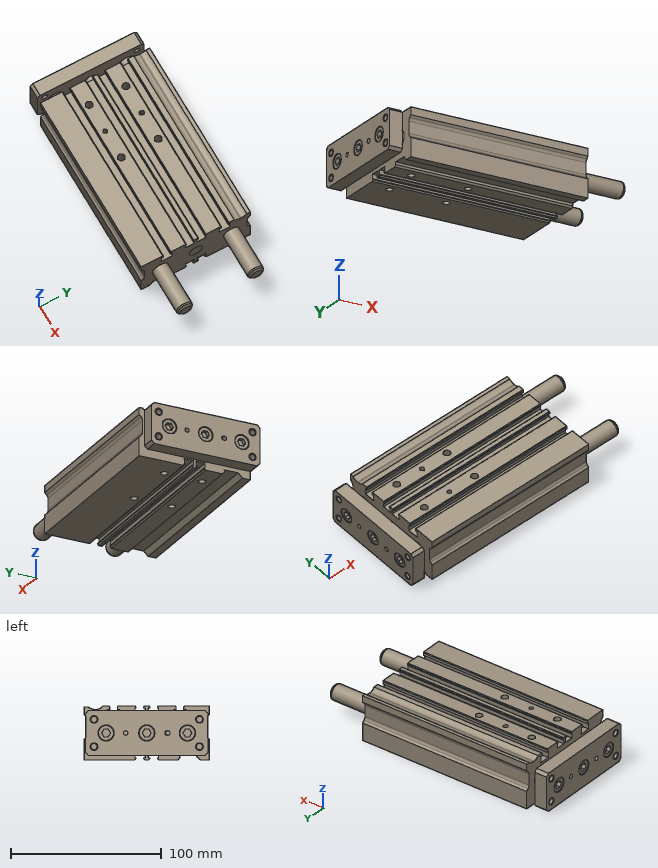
import cadquery as cq
import math


PLATE_THICKNESS = 10.0
PLATE_GAP = 6.0
HOUSING_LENGTH = 137.2
TOTAL_LENGTH = 188.0
HOUSING_FRONT = PLATE_THICKNESS + PLATE_GAP

HOUSING_WIDTH = 83.0
HOUSING_HEIGHT = 36.0
HALF_WIDTH = HOUSING_WIDTH / 2
HALF_HEIGHT = HOUSING_HEIGHT / 2

SIDE_GROOVE_TOP = 12.2
SIDE_GROOVE_BOTTOM = -4.1
SIDE_GROOVE_BEVEL = 1.5
SIDE_GROOVE_RADIUS = 3.2
SIDE_GROOVE_ANGLE = math.radians(45)

RIB_CAP_WIDTH = 4.1
RIB_STEM_WIDTH = 2.0
CENTRE_SLOT_OUTER = 7.1
CENTRE_SLOT_UNDERCUT = 0.5
CENTRE_SLOT_LIP = 1.5
CENTRE_SLOT_DEPTH = 5.0
EDGE_BEVEL = 0.5
BOTTOM_EDGE_BEVEL = 1.0

T_SLOT_OFFSET = 22.0
T_SLOT_MOUTH = 5.0
T_SLOT_WIDTH = 8.0
T_SLOT_LIP = 2.5
T_SLOT_DEPTH = 7.3

CHANNEL_CENTRE = 33.8
CHANNEL_DEPTH = 2.3
CHANNEL_FLAT = 0.5
CHANNEL_INNER_EDGE = 29.1
CHANNEL_OUTER_EDGE = 38.7
CHANNEL_OUTER_STEP = 0.2
OUTER_LAND_DROP = 0.5

BOTTOM_GROOVE_INNER = -22.0
BOTTOM_GROOVE_OUTER = -35.5
BOTTOM_GROOVE_DEPTH = 3.2
BOTTOM_GROOVE_BEVEL = 1.3

HOLE_FIRST = 17.0
HOLE_PITCH = 44.0
HOLE_ROW_SPACING = 28.0
HOLE_OFFSET = HOLE_ROW_SPACING / 2
MOUNT_HOLE_DIAMETER = 5.0
LOCATING_HOLE_DIAMETER = 3.0
LOCATING_HOLE_DEPTH = 6.0
LOCATING_RELIEF_SHIFT = 0.5
LOCATING_RELIEF_DEPTH = 3.0

PLATE_WIDTH = 81.0
PLATE_HEIGHT = 30.0
PLATE_BEVEL = 2.0
CORNER_HOLE_Y = 35.0
CORNER_HOLE_Z = 9.0
CORNER_HOLE_DIAMETER = 4.1
CORNER_HOLE_RIM = 5.0
CORNER_RIM_DEPTH = 0.47

GUIDE_SPACING = 54.0
GUIDE_OFFSET = GUIDE_SPACING / 2
GUIDE_DIAMETER = 12.0
PISTON_ROD_DIAMETER = 10.0
TIP_TAPER_LENGTH = 1.1
TIP_TAPER_INSET = 0.4
TIP_BEVEL_LENGTH = 1.1
TIP_BEVEL_INSET = 1.3
HEAD_DIAMETER = 10.0
HEAD_HEIGHT = 5.6
HEAD_RECESS = 0.4
COUNTERBORE_DEPTH = HEAD_RECESS + HEAD_HEIGHT
SCREW_DIAMETER = 6.0
COUNTERBORE_DIAMETER = 10.7
SOCKET_ACROSS_FLATS = 5.0
SOCKET_DEPTH = 3.0


def bar(points):
    """Prism along the housing with a polygonal (Y, Z) section."""
    return cq.Workplane("YZ", origin=(HOUSING_FRONT, 0, 0)).polyline(points).close().extrude(HOUSING_LENGTH)


def x_cylinder(diameter, start, end, y=0.0, z=0.0):
    """Cylinder along X from start to end."""
    return cq.Workplane("YZ", origin=(start, y, z)).circle(diameter / 2).extrude(end - start)


def side_groove():
    """Groove in the +Y side: bevelled edges and rounded inner corners."""
    arc_span = SIDE_GROOVE_RADIUS * math.sin(SIDE_GROOVE_ANGLE)
    arc_drop = SIDE_GROOVE_RADIUS - arc_span
    mid_span = SIDE_GROOVE_RADIUS * math.sin(SIDE_GROOVE_ANGLE / 2)
    mid_drop = SIDE_GROOVE_RADIUS * (1 - math.cos(SIDE_GROOVE_ANGLE / 2))
    bevel_y = HALF_WIDTH - SIDE_GROOVE_BEVEL
    floor_y = bevel_y - arc_drop
    bevel_top = SIDE_GROOVE_TOP - SIDE_GROOVE_BEVEL
    bevel_bottom = SIDE_GROOVE_BOTTOM + SIDE_GROOVE_BEVEL
    floor_top = bevel_top - arc_span
    floor_bottom = bevel_bottom + arc_span
    return (
        cq.Workplane("YZ", origin=(HOUSING_FRONT, 0, 0))
        .moveTo(HALF_WIDTH, SIDE_GROOVE_TOP)
        .lineTo(bevel_y, bevel_top)
        .threePointArc((floor_y + mid_drop, floor_top + mid_span), (floor_y, floor_top))
        .lineTo(floor_y, floor_bottom)
        .threePointArc((floor_y + mid_drop, floor_bottom - mid_span), (bevel_y, bevel_bottom))
        .lineTo(HALF_WIDTH, SIDE_GROOVE_BOTTOM)
        .close()
        .extrude(HOUSING_LENGTH)
    )


def centre_slot(bevel):
    """Undercut slot on the +Y side of the centre rib, in the top."""
    top = HALF_HEIGHT
    inner = RIB_CAP_WIDTH / 2
    outer = CENTRE_SLOT_OUTER
    lip = top - CENTRE_SLOT_LIP
    floor = top - CENTRE_SLOT_DEPTH
    return bar([
        (inner - bevel, top),
        (inner, top - bevel),
        (inner, lip),
        (RIB_STEM_WIDTH / 2, lip),
        (RIB_STEM_WIDTH / 2, floor),
        (outer + CENTRE_SLOT_UNDERCUT, floor),
        (outer + CENTRE_SLOT_UNDERCUT, lip),
        (outer, lip),
        (outer, top - bevel),
        (outer + bevel, top),
    ])


def t_slot():
    """T-slot in the +Y half of the top."""
    top = HALF_HEIGHT
    mouth = T_SLOT_MOUTH / 2
    half = T_SLOT_WIDTH / 2
    lip = top - T_SLOT_LIP
    floor = top - T_SLOT_DEPTH
    right = [(mouth + EDGE_BEVEL, top), (mouth, top - EDGE_BEVEL), (mouth, lip), (half, lip), (half, floor)]
    left = [(-y, z) for y, z in reversed(right)]
    return bar([(T_SLOT_OFFSET + y, z) for y, z in right + left])


def concave_middle(low_y, low_z, high_y, high_z):
    """Middle point of the arc that leaves the low point level and rises to the high point."""
    run = high_y - low_y
    rise = high_z - low_z
    half_angle = math.atan2(rise, abs(run))
    radius = rise / (1 - math.cos(2 * half_angle))
    middle_y = low_y + math.copysign(radius * math.sin(half_angle), run)
    return middle_y, low_z + radius * (1 - math.cos(half_angle))


def channel():
    """Channel between two concave flanks, with the land outside it lowered a little."""
    outer_land = HALF_HEIGHT - OUTER_LAND_DROP
    outer_start = outer_land - CHANNEL_OUTER_STEP
    floor = HALF_HEIGHT - CHANNEL_DEPTH
    inner_flat = CHANNEL_CENTRE - CHANNEL_FLAT / 2
    outer_flat = CHANNEL_CENTRE + CHANNEL_FLAT / 2
    outer_middle = concave_middle(outer_flat, floor, CHANNEL_OUTER_EDGE, outer_start)
    inner_middle = concave_middle(inner_flat, floor, CHANNEL_INNER_EDGE, HALF_HEIGHT)
    return (
        cq.Workplane("YZ", origin=(HOUSING_FRONT, 0, 0))
        .moveTo(HALF_WIDTH, HALF_HEIGHT)
        .lineTo(HALF_WIDTH, outer_land)
        .lineTo(CHANNEL_OUTER_EDGE, outer_land)
        .lineTo(CHANNEL_OUTER_EDGE, outer_start)
        .threePointArc(outer_middle, (outer_flat, floor))
        .lineTo(inner_flat, floor)
        .threePointArc(inner_middle, (CHANNEL_INNER_EDGE, HALF_HEIGHT))
        .close()
        .extrude(HOUSING_LENGTH)
    )


def bottom_groove():
    """Wide groove with one upright and one sloping flank."""
    bottom = -HALF_HEIGHT
    floor = bottom + BOTTOM_GROOVE_DEPTH
    return bar([
        (BOTTOM_GROOVE_INNER + BOTTOM_GROOVE_BEVEL, bottom),
        (BOTTOM_GROOVE_INNER, bottom + BOTTOM_GROOVE_BEVEL),
        (BOTTOM_GROOVE_INNER, floor),
        (BOTTOM_GROOVE_OUTER + BOTTOM_GROOVE_DEPTH, floor),
        (BOTTOM_GROOVE_OUTER, bottom),
    ])


def mounting_holes():
    """Two rows of holes; the +Y locating hole is elongated towards the middle near its mouth."""
    first = HOUSING_FRONT + HOLE_FIRST
    rows = (-HOLE_OFFSET, HOLE_OFFSET)
    top = cq.Workplane("XY", origin=(0, 0, HALF_HEIGHT))
    through = top.pushPoints([(first + i * HOLE_PITCH, y) for i in range(2) for y in rows])
    locating = top.pushPoints([(first + HOLE_PITCH / 2, y) for y in rows])
    relief = top.center(first + HOLE_PITCH / 2, HOLE_OFFSET - LOCATING_RELIEF_SHIFT)
    return (
        through.circle(MOUNT_HOLE_DIAMETER / 2)
        .extrude(-HOUSING_HEIGHT)
        .union(locating.circle(LOCATING_HOLE_DIAMETER / 2).extrude(-LOCATING_HOLE_DEPTH))
        .union(relief.circle(LOCATING_HOLE_DIAMETER / 2).extrude(-LOCATING_RELIEF_DEPTH))
    )


def rod_bores():
    """Bores for the three rods."""
    end = HOUSING_FRONT + HOUSING_LENGTH
    bores = x_cylinder(PISTON_ROD_DIAMETER, HOUSING_FRONT, end)
    for y in (-GUIDE_OFFSET, GUIDE_OFFSET):
        bores = bores.union(x_cylinder(GUIDE_DIAMETER, HOUSING_FRONT, end, y))
    return bores


def make_housing():
    body = (
        cq.Workplane("XY", origin=(HOUSING_FRONT, 0, 0))
        .box(HOUSING_LENGTH, HOUSING_WIDTH, HOUSING_HEIGHT, centered=(False, True, True))
    )
    for cutter in (side_groove(), centre_slot(EDGE_BEVEL), t_slot()):
        body = body.cut(cutter).cut(cutter.mirror("XZ"))
    lower_slot = centre_slot(BOTTOM_EDGE_BEVEL).mirror("XY")
    body = body.cut(lower_slot).cut(lower_slot.mirror("XZ"))
    for cutter in (channel(), bottom_groove(), mounting_holes(), rod_bores()):
        body = body.cut(cutter)
    return body


def make_plate():
    body = (
        cq.Workplane("XY")
        .box(PLATE_THICKNESS, PLATE_WIDTH, PLATE_HEIGHT, centered=(False, True, True))
        .edges("|X")
        .chamfer(PLATE_BEVEL)
    )
    for y in (-CORNER_HOLE_Y, CORNER_HOLE_Y):
        for z in (-CORNER_HOLE_Z, CORNER_HOLE_Z):
            body = body.cut(x_cylinder(CORNER_HOLE_DIAMETER, 0, PLATE_THICKNESS, y, z))
            body = body.cut(x_cylinder(CORNER_HOLE_RIM, 0, CORNER_RIM_DEPTH, y, z))
    for y in (-HOLE_OFFSET, HOLE_OFFSET):
        body = body.cut(x_cylinder(LOCATING_HOLE_DIAMETER, 0, PLATE_THICKNESS, y))
    relief_y = LOCATING_RELIEF_SHIFT - HOLE_OFFSET
    body = body.cut(x_cylinder(LOCATING_HOLE_DIAMETER, 0, LOCATING_RELIEF_DEPTH, relief_y))
    for y in (-GUIDE_OFFSET, 0, GUIDE_OFFSET):
        body = body.cut(x_cylinder(SCREW_DIAMETER, 0, PLATE_THICKNESS, y))
        body = body.cut(x_cylinder(COUNTERBORE_DIAMETER, 0, COUNTERBORE_DEPTH, y))
    return body


def rod_with_head(y, rod_profile):
    """Turned rod: socket head in the plate, screw shank, then the given (X, radius) profile."""
    head_radius = HEAD_DIAMETER / 2
    shank_radius = SCREW_DIAMETER / 2
    profile = [
        (HEAD_RECESS, 0),
        (HEAD_RECESS, head_radius),
        (COUNTERBORE_DEPTH, head_radius),
        (COUNTERBORE_DEPTH, shank_radius),
        (PLATE_THICKNESS, shank_radius),
        *rod_profile,
        (rod_profile[-1][0], 0),
    ]
    turned = (
        cq.Workplane("XZ", origin=(0, y, 0))
        .polyline(profile)
        .close()
        .revolve(360, (0, 0, 0), (1, 0, 0))
    )
    across_corners = SOCKET_ACROSS_FLATS / math.cos(math.radians(30))
    socket = (
        cq.Workplane("YZ", origin=(HEAD_RECESS, y, 0))
        .polygon(6, across_corners)
        .extrude(SOCKET_DEPTH)
    )
    return turned.cut(socket)


def make_piston_rod():
    radius = PISTON_ROD_DIAMETER / 2
    return rod_with_head(0, [(PLATE_THICKNESS, radius), (HOUSING_FRONT + HOUSING_LENGTH, radius)])


def make_guide_rod(y):
    """Guide rod whose free end narrows in a slight taper and then a bevel."""
    radius = GUIDE_DIAMETER / 2
    bevel_start = TOTAL_LENGTH - TIP_BEVEL_LENGTH
    bevel_radius = radius - TIP_TAPER_INSET
    return rod_with_head(y, [
        (PLATE_THICKNESS, radius),
        (bevel_start - TIP_TAPER_LENGTH, radius),
        (bevel_start, bevel_radius),
        (TOTAL_LENGTH, bevel_radius - TIP_BEVEL_INSET),
    ])


housing = make_housing()
plate = make_plate()
piston_rod = make_piston_rod()
guide_rods = [make_guide_rod(y).val() for y in (-GUIDE_OFFSET, GUIDE_OFFSET)]

result = cq.Compound.makeCompound([housing.val(), plate.val(), piston_rod.val(), *guide_rods])